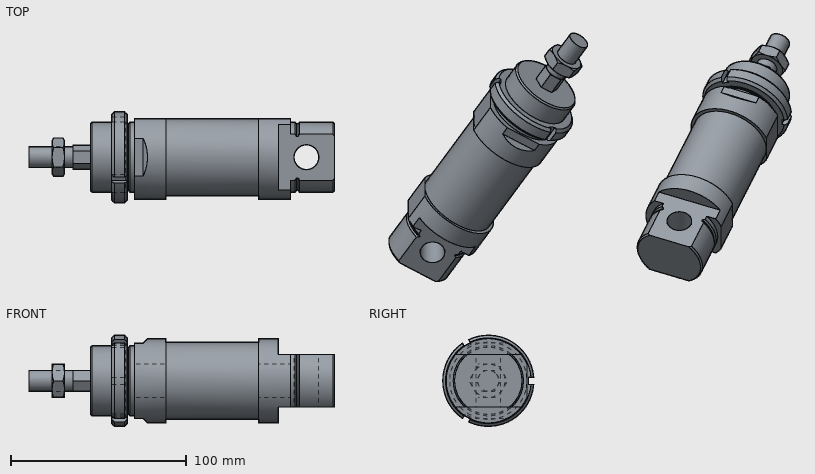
import cadquery as cq
import math

rod_tip = 0.0
rod_nut_start = 13.2
rod_nut_width = 7.0
hex_start = 25.0
nose_start = 35.0
ring_nut_start = 47.0
ring_nut_width = 9.0
front_body_start = 60.0
tube_start = 78.0
rear_cap_start = 130.8
tongue_start = 142.0
spigot_start = 149.0
rear_end = 174.0

rod_diameter = 12.0
rod_hex_flats = 12.0
rod_nut_flats = 19.0
rod_nut_chamfer_angle = 30.0

cap_diameter = 48.0
tube_diameter = 44.0
port_flat_y = tube_diameter / 2
thread_diameter = 40.0
thread_end_diameter = 38.38
thread_chamfer_length = 1.0
relief_diameter = 38.2
relief_depth = (thread_diameter - relief_diameter) / 2
relief_width = 2.6
relief_setback = 2.5
wrench_flat_z = 21.5
wrench_flat_length = 5.0

tongue_thickness = 30.0
pivot_hole_diameter = 14.0
pivot_hole_x = 158.0

ring_nut_diameter = 52.0
ring_nut_chamfer = 1.6
slot_width = 4.0
slot_floor_radius = 23.0
slot_count = 3


def cylinder(diameter, start, end):
    """Solid cylinder on the X axis."""
    return cq.Workplane("YZ", origin=(start, 0, 0)).circle(diameter / 2).extrude(end - start)


def hexagon(flats, start, end):
    """Hexagonal bar on the X axis with flats facing +Z and -Z."""
    corners = flats / math.cos(math.radians(30))
    return cq.Workplane("YZ", origin=(start, 0, 0)).polygon(6, corners).extrude(end - start)


def turned(profile):
    """Revolve an (x, radius) profile about the X axis."""
    return cq.Workplane("XY").polyline(profile).close().revolve(360, (0, 0, 0), (1, 0, 0))


def port_side_waste(start, end):
    """Block removed from a cap to leave the flat on its +Y side."""
    return cq.Workplane("XY").box(
        end - start, cap_diameter, 2 * cap_diameter, centered=(False, False, True)
    ).translate((start, port_flat_y, 0))


def make_rod():
    """Round threaded end with a hexagonal wrench section that meets the nose of the front cap."""
    return cylinder(rod_diameter, rod_tip, hex_start).union(
        hexagon(rod_hex_flats, hex_start, nose_start)
    )


def make_rod_nut():
    """Hexagonal lock nut, limited by two cones that bevel its corners."""
    end = rod_nut_start + rod_nut_width
    nut = hexagon(rod_nut_flats, rod_nut_start, end)
    face_radius = rod_nut_flats / 2
    slope = math.tan(math.radians(rod_nut_chamfer_angle))
    mid_radius = face_radius + rod_nut_width / 2 / slope
    envelope = turned([
        (rod_nut_start, 0),
        (rod_nut_start, face_radius),
        (rod_nut_start + rod_nut_width / 2, mid_radius),
        (end, face_radius),
        (end, 0),
    ])
    return nut.intersect(envelope).cut(cylinder(rod_diameter, rod_nut_start, end))


def make_front_cap():
    """Threaded nose and larger body with ramped wrench flats on +Z and -Z."""
    thread_radius = thread_diameter / 2
    relief_end = front_body_start - relief_setback
    relief_start = relief_end - relief_width
    cap = turned([
        (nose_start, 0),
        (nose_start, thread_end_diameter / 2),
        (nose_start + thread_chamfer_length, thread_radius),
        (relief_start, thread_radius),
        (relief_start + relief_depth, relief_diameter / 2),
        (relief_end - relief_depth, relief_diameter / 2),
        (relief_end, thread_radius),
        (front_body_start, thread_radius),
        (front_body_start, cap_diameter / 2),
        (tube_start, cap_diameter / 2),
        (tube_start, 0),
    ])
    cap = cap.cut(port_side_waste(front_body_start, tube_start))
    flat_end = front_body_start + wrench_flat_length
    ramp = cap_diameter / 2 - wrench_flat_z
    flat_waste = (
        cq.Workplane("XZ")
        .polyline([
            (front_body_start, wrench_flat_z),
            (flat_end, wrench_flat_z),
            (flat_end + ramp, wrench_flat_z + ramp),
            (front_body_start, wrench_flat_z + ramp),
        ])
        .close()
        .extrude(cap_diameter, both=True)
    )
    return cap.cut(flat_waste).cut(flat_waste.mirror("XY"))


def make_ring_nut():
    """Round nut with evenly spaced spanner slots, the first on +Y."""
    end = ring_nut_start + ring_nut_width
    nut = cylinder(ring_nut_diameter, ring_nut_start, end).edges().chamfer(ring_nut_chamfer)
    nut = nut.cut(cylinder(thread_diameter, ring_nut_start, end))
    slot = cq.Workplane("XY").box(
        ring_nut_width, ring_nut_diameter, slot_width, centered=(False, False, True)
    ).translate((ring_nut_start, slot_floor_radius, 0))
    for index in range(slot_count):
        nut = nut.cut(slot.rotate((0, 0, 0), (1, 0, 0), index * 360 / slot_count))
    return nut


def make_tube():
    """Plain barrel between the two caps."""
    return cylinder(tube_diameter, tube_start, rear_cap_start)


def make_rear_cap():
    """Collar and threaded spigot, flattened into a tongue with a pivot hole along Z."""
    thread_radius = thread_diameter / 2
    relief_start = spigot_start + relief_setback
    relief_end = relief_start + relief_width
    cap = turned([
        (rear_cap_start, 0),
        (rear_cap_start, cap_diameter / 2),
        (spigot_start, cap_diameter / 2),
        (spigot_start, thread_radius),
        (relief_start, thread_radius),
        (relief_start + relief_depth, relief_diameter / 2),
        (relief_end - relief_depth, relief_diameter / 2),
        (relief_end, thread_radius),
        (rear_end - thread_chamfer_length, thread_radius),
        (rear_end, thread_end_diameter / 2),
        (rear_end, 0),
    ])
    cap = cap.cut(port_side_waste(rear_cap_start, spigot_start))
    side_waste = cq.Workplane("XY").box(
        rear_end - tongue_start, 2 * cap_diameter, cap_diameter, centered=(False, True, False)
    ).translate((tongue_start, 0, tongue_thickness / 2))
    cap = cap.cut(side_waste).cut(side_waste.mirror("XY"))
    pivot_hole = (
        cq.Workplane("XY")
        .center(pivot_hole_x, 0)
        .circle(pivot_hole_diameter / 2)
        .extrude(tongue_thickness, both=True)
    )
    return cap.cut(pivot_hole)


rod = make_rod()
rod_nut = make_rod_nut()
front_cap = make_front_cap()
ring_nut = make_ring_nut()
tube = make_tube()
rear_cap = make_rear_cap()

result = cq.Compound.makeCompound([
    rod.val(),
    rod_nut.val(),
    front_cap.val(),
    ring_nut.val(),
    tube.val(),
    rear_cap.val(),
])